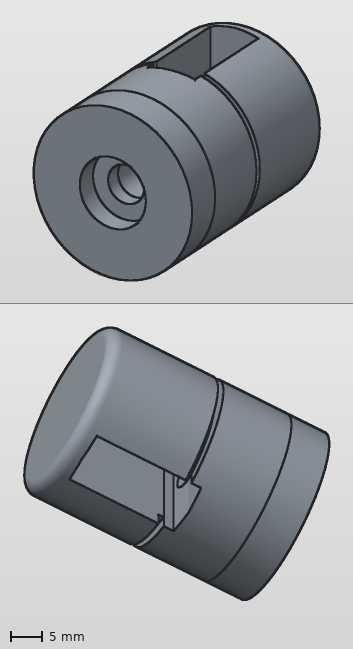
import cadquery as cq

LENGTH = 40.2
OUTER_DIAMETER = 30.0
REAR_EDGE_RADIUS = 2.0

DISC_THICKNESS = 7.0
GROOVE_START = 19.53
GROOVE_WIDTH = 1.0
SPIGOT_DIAMETER = 24.2
REAR_START = GROOVE_START + GROOVE_WIDTH

COUNTERBORE_DIAMETER = 12.5
COUNTERBORE_DEPTH = 4.0
BORE_DIAMETER = 6.8

SLOT_WIDTH = 9.0
SLOT_START = 17.48
SLOT_END = 37.15
SLOT_END_RISE = 0.25
SLOT_CUT_REACH = OUTER_DIAMETER


def cylinder(diameter, start, length):
    """Solid cylinder on the Y axis, running from y = start towards +Y."""
    plane = cq.Plane(origin=(0, start, 0), xDir=(1, 0, 0), normal=(0, 1, 0))
    return cq.Workplane(plane).circle(diameter / 2).extrude(length)


def make_slot_cutter():
    """Vertical prism whose two ends are shallow V shapes pointing outwards."""
    half_width = SLOT_WIDTH / 2
    front_corner = SLOT_START + SLOT_END_RISE
    rear_corner = SLOT_END - SLOT_END_RISE
    outline = [
        (-half_width, front_corner),
        (0, SLOT_START),
        (half_width, front_corner),
        (half_width, rear_corner),
        (0, SLOT_END),
        (-half_width, rear_corner),
    ]
    return (
        cq.Workplane("XY")
        .polyline(outline)
        .close()
        .extrude(SLOT_CUT_REACH, both=True)
    )


def make_disc():
    """Front disc with the counterbored hole."""
    disc = cylinder(OUTER_DIAMETER, 0, DISC_THICKNESS)
    counterbore = cylinder(COUNTERBORE_DIAMETER, 0, COUNTERBORE_DEPTH)
    bore = cylinder(BORE_DIAMETER, 0, DISC_THICKNESS)
    return disc.cut(counterbore).cut(bore)


def make_sleeve():
    """Middle cylinder: the bore opens into the front end of the slot."""
    length = GROOVE_START - DISC_THICKNESS
    sleeve = cylinder(OUTER_DIAMETER, DISC_THICKNESS, length)
    bore = cylinder(BORE_DIAMETER, DISC_THICKNESS, length)
    return sleeve.cut(bore).cut(make_slot_cutter())


def make_head():
    """Rounded rear cylinder whose spigot forms the floor of the groove."""
    head = cylinder(OUTER_DIAMETER, REAR_START, LENGTH - REAR_START)
    head = head.faces(">Y").edges().fillet(REAR_EDGE_RADIUS)
    spigot = cylinder(SPIGOT_DIAMETER, GROOVE_START, GROOVE_WIDTH)
    return head.union(spigot).cut(make_slot_cutter())


disc = make_disc()
sleeve = make_sleeve()
head = make_head()

result = cq.Compound.makeCompound([disc.solids().val(), sleeve.solids().val(), head.solids().val()])